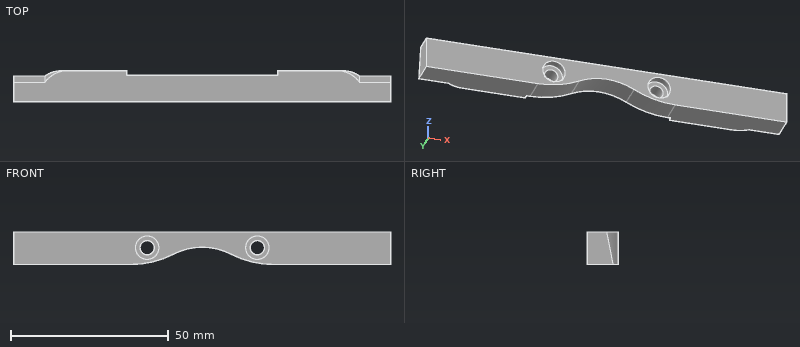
import cadquery as cq
import math

length = 120.0
depth = 10.0
height = 10.5

arch_rise = 5.5
crown_radius = 20.0
blend_radius = 30.0

hole_spacing = 35.0
hole_height = 5.4
hole_diameter = 4.5
counterbore_diameter = 7.5
counterbore_depth = 3.0

recess_length = 48.0
recess_depth = 1.5

tail_length = 10.0
tail_depth_top = 6.2
tail_depth_bottom = 8.3
shoulder_radius = 9.0


def make_bar():
    return cq.Workplane("XY").box(length, depth, height, centered=(True, False, False))


def make_arch():
    angle = math.acos(1 - arch_rise / (crown_radius + blend_radius))
    half_span = (crown_radius + blend_radius) * math.sin(angle)

    def on_crown(a):
        return (crown_radius * math.sin(a), arch_rise - crown_radius * (1 - math.cos(a)))

    def on_blend(a):
        return (half_span - blend_radius * math.sin(a), blend_radius * (1 - math.cos(a)))

    def mirrored(point):
        return (-point[0], point[1])

    crown_end = on_crown(angle)
    blend_middle = on_blend(angle / 2)
    return (
        cq.Workplane("XZ")
        .moveTo(-half_span, 0)
        .threePointArc(mirrored(blend_middle), mirrored(crown_end))
        .threePointArc((0, arch_rise), crown_end)
        .threePointArc(blend_middle, (half_span, 0))
        .close()
        .extrude(-depth)
    )


def make_screw_hole(x):
    front = cq.Workplane("XZ").center(x, hole_height)
    bore = front.circle(hole_diameter / 2).extrude(-depth)
    counterbore = front.circle(counterbore_diameter / 2).extrude(-counterbore_depth)
    return bore.union(counterbore)


def make_recess():
    return (
        cq.Workplane("XY")
        .box(recess_length, recess_depth, height, centered=(True, False, False))
        .translate((0, depth - recess_depth, 0))
    )


def tail_outline(z, tail_depth):
    """Area removed behind the left end at one level, bounded by the shoulder arc."""
    start_x = tail_length - length / 2
    centre_y = depth - shoulder_radius
    start_angle = math.acos((tail_depth - centre_y) / shoulder_radius)
    centre_x = start_x + shoulder_radius * math.sin(start_angle)
    middle = (
        centre_x - shoulder_radius * math.sin(start_angle / 2),
        centre_y + shoulder_radius * math.cos(start_angle / 2),
    )
    return (
        cq.Workplane("XY", origin=(0, 0, z))
        .moveTo(-length / 2, tail_depth)
        .lineTo(start_x, tail_depth)
        .threePointArc(middle, (centre_x, depth))
        .lineTo(-length / 2, depth)
        .close()
        .wires()
        .val()
    )


def make_tail_cut():
    lower = tail_outline(0, tail_depth_bottom)
    upper = tail_outline(height, tail_depth_top)
    return cq.Workplane(cq.Solid.makeLoft([lower, upper], True))


left_tail_cut = make_tail_cut()
result = make_bar().cut(make_arch()).cut(make_recess())
result = result.cut(left_tail_cut).cut(left_tail_cut.mirror("YZ"))
for hole_x in (-hole_spacing / 2, hole_spacing / 2):
    result = result.cut(make_screw_hole(hole_x))